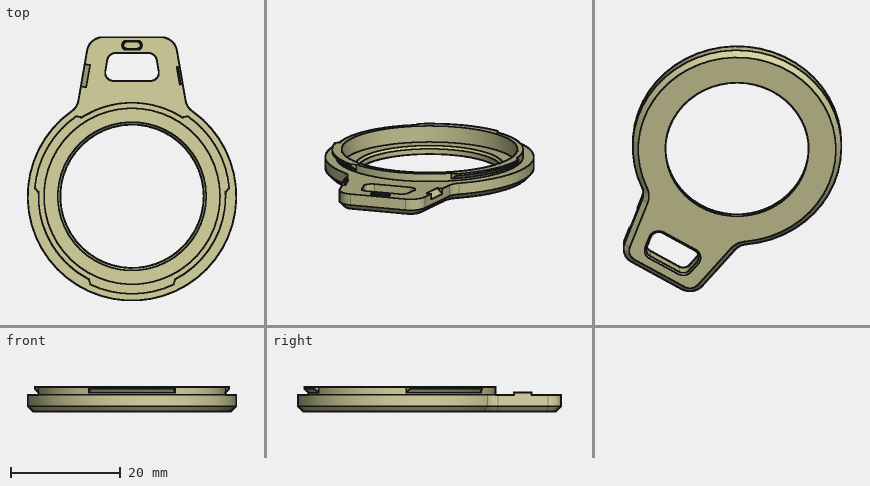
import cadquery as cq
import math

body_radius = 18.95
total_length = 47.9
body_height = 3.05
bottom_chamfer = 1.0
floor_height = 1.5
bore_radius = 26.0 / 2
bore_chamfer = 0.5

collar_top = 4.5
collar_radius = 34 / 2
recess_radius = 32.0 / 2
lug_radius = 17.75
lug_rim_height = 0.35
lug_count = 3
lug_first_angle = 30
lug_root_half_angle = 27.5
lug_tip_half_angle = 25.2

tab_top = total_length - body_radius
tab_top_half_width = 7.75
side_angle = 9.8
side_slope = math.tan(math.radians(side_angle))
tab_base_y = body_radius / 2
tab_round = 2.95

window_bottom = 21.0
window_top = 26.0
window_top_half_width = 4.25
window_round = 1.5
window_bottom_chamfer = 0.35

pocket_y = 27.45
pocket_length = 3.15
pocket_width = 1.2
pocket_depth = 0.6
pocket_chamfer = 0.25

clasp_y = 22.0
notch_length = 4.1
notch_size = 1.0
ridge_length = 3.2
ridge_height = 0.45
ridge_width = 0.57
ridge_chamfer = 0.2


def trapezoid(bottom_y, top_y, top_half_width, height):
    """Upright prism whose sides follow the tab's taper."""
    bottom_half_width = top_half_width + (top_y - bottom_y) * side_slope
    return (
        cq.Workplane("XY")
        .polyline([
            (-bottom_half_width, bottom_y),
            (bottom_half_width, bottom_y),
            (top_half_width, top_y),
            (-top_half_width, top_y),
        ])
        .close()
        .extrude(height)
    )


def make_plate():
    """Disc and tab in one outline, chamfered around the bottom."""
    tab = trapezoid(tab_base_y, tab_top, tab_top_half_width, body_height)
    tab = tab.edges("|Z and >Y").fillet(tab_round)
    plate = cq.Workplane("XY").circle(body_radius).extrude(body_height).union(tab)
    root_box = cq.selectors.BoxSelector(
        (-body_radius, tab_base_y, -0.5),
        (body_radius, clasp_y - notch_length / 2, body_height + 0.5),
    )
    plate = plate.edges("|Z").edges(root_box).fillet(tab_round)
    return plate.faces("<Z").chamfer(bottom_chamfer)


def make_lugs():
    """Locking lugs with a sloping underside and ends that narrow outward."""
    rim_bottom = collar_top - lug_rim_height
    slope_bottom = rim_bottom - (lug_radius - collar_radius)
    lug_ring = (
        cq.Workplane("XZ")
        .polyline([
            (recess_radius, slope_bottom),
            (collar_radius, slope_bottom),
            (lug_radius, rim_bottom),
            (lug_radius, collar_top),
            (recess_radius, collar_top),
        ])
        .close()
        .revolve(360, (0, 0, 0), (0, 1, 0))
    )

    def rim_point(radius, angle):
        angle = math.radians(angle)
        return radius * math.cos(angle), radius * math.sin(angle)

    sectors = cq.Workplane("XY")
    for index in range(lug_count):
        middle = lug_first_angle + index * 360 / lug_count
        sector = (
            cq.Workplane("XY")
            .polyline([
                (0, 0),
                rim_point(collar_radius, middle - lug_root_half_angle),
                rim_point(lug_radius, middle - lug_tip_half_angle),
                rim_point(body_radius, middle - lug_tip_half_angle),
                rim_point(body_radius / math.cos(math.radians(lug_tip_half_angle)), middle),
                rim_point(body_radius, middle + lug_tip_half_angle),
                rim_point(lug_radius, middle + lug_tip_half_angle),
                rim_point(collar_radius, middle + lug_root_half_angle),
            ])
            .close()
            .extrude(collar_top)
        )
        sectors = sectors.add(sector)
    return lug_ring.intersect(sectors.combine())


def make_bore():
    """Stepped opening: recess above the floor and a chamfered through bore."""
    return (
        cq.Workplane("XZ")
        .polyline([
            (0, 0),
            (bore_radius, 0),
            (bore_radius, floor_height - bore_chamfer),
            (bore_radius + bore_chamfer, floor_height),
            (recess_radius, floor_height),
            (recess_radius, collar_top),
            (0, collar_top),
        ])
        .close()
        .revolve(360, (0, 0, 0), (0, 1, 0))
    )


def cut_window(body):
    """Cut the strap window and chamfer its edge on the bottom face."""
    window = trapezoid(window_bottom, window_top, window_top_half_width, body_height)
    window = window.edges("|Z").fillet(window_round)
    window_box = cq.selectors.BoxSelector(
        (-tab_top_half_width, window_bottom - window_bottom_chamfer, -window_bottom_chamfer),
        (tab_top_half_width, window_top + window_bottom_chamfer, window_bottom_chamfer),
    )
    rim = body.cut(window).faces("<Z").edges(window_box)
    return rim.chamfer(window_bottom_chamfer)


def make_pocket():
    top = cq.Workplane("XY").workplane(offset=body_height).center(0, pocket_y)
    pocket = top.slot2D(pocket_length, pocket_width).extrude(-pocket_depth)
    mouth_length = pocket_length + 2 * pocket_chamfer
    mouth_width = pocket_width + 2 * pocket_chamfer
    mouth = top.slot2D(mouth_length, mouth_width).extrude(-pocket_chamfer, taper=45)
    return pocket.union(mouth)


def side_prism(profile, length, side):
    """Prism along a tab side; profile is (distance inward, height above plate top)."""
    half_width = tab_top_half_width + (tab_top - clasp_y) * side_slope
    return (
        cq.Workplane("XZ")
        .polyline([(-side * inward, height) for inward, height in profile])
        .close()
        .extrude(length / 2, both=True)
        .rotate((0, 0, 0), (0, 0, 1), side * side_angle)
        .translate((side * half_width, clasp_y, body_height))
    )


notch_profile = [
    (notch_size, 0),
    (-notch_size, 0),
    (-notch_size, -2 * notch_size),
]
ridge_profile = [
    (0, 0),
    (0, ridge_height),
    (ridge_width - ridge_chamfer, ridge_height),
    (ridge_width, ridge_height - ridge_chamfer),
    (ridge_width, 0),
]
notch = side_prism(notch_profile, notch_length, -1)
ridge = side_prism(ridge_profile, ridge_length, 1)
collar = cq.Workplane("XY").circle(collar_radius).extrude(collar_top)

result = (
    cut_window(make_plate())
    .union(collar)
    .union(make_lugs())
    .cut(make_bore())
    .cut(make_pocket())
    .cut(notch)
    .union(ridge)
)